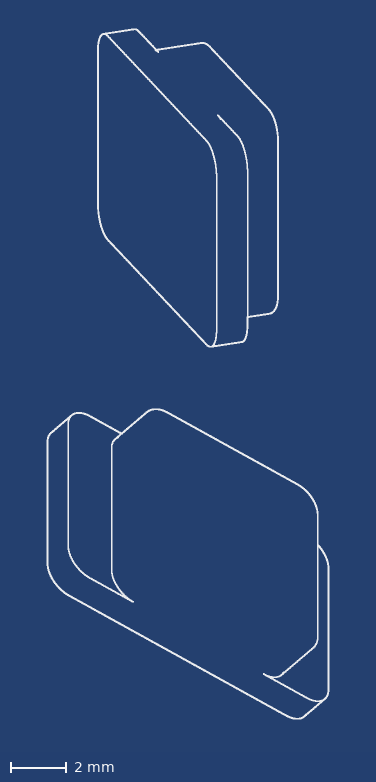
import cadquery as cq

plate_width = 12.0
height = 8.0
plate_thickness = 1.19
corner_radius = 1.0

block_width = 8.0
block_depth = 2.0
rim_fillet = 0.2


def rounded_slab(width, thickness, start_y):
    """Slab centred on X and Z, with rounded corners, growing toward +Y."""
    slab = cq.Workplane("XY").box(width, thickness, height, centered=(True, False, True))
    return slab.edges("|Y").fillet(corner_radius).translate((0, start_y, 0))


def raised_block():
    """Narrower slab with its far rim rounded over."""
    block = rounded_slab(block_width, block_depth, plate_thickness)
    return block.faces(">Y").edges().fillet(rim_fillet)


plate = rounded_slab(plate_width, plate_thickness, 0)
result = plate.union(raised_block())